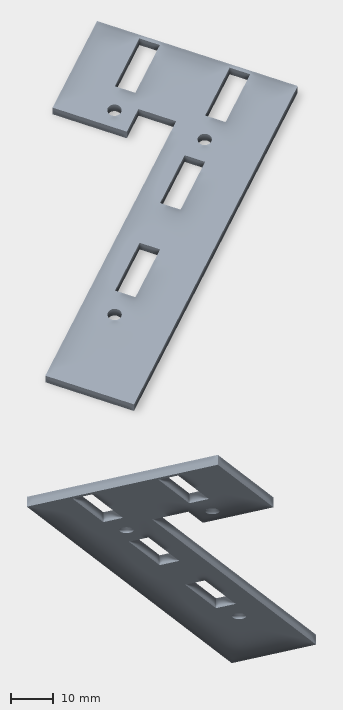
import cadquery as cq

length = 101.6
width = 50.8
thickness = 2.5
arm_width = 22.5
tab_width = 18.8
tab_depth = 27.6
head_depth = 20.4

slot_width = 5.2
slot_length = 15.2
hole_diameter = 3.4
left_column = 13.7
right_column = 36.6
edge_margin = 1.0
row_pitch = 27.9
hole_offset = 22.9

top_slot_y = length - edge_margin - slot_length / 2
top_hole_y = length - hole_offset

slot_centers = [(left_column, top_slot_y)]
for row in range(3):
    slot_centers.append((right_column, top_slot_y - row * row_pitch))

hole_centers = [
    (left_column, top_hole_y),
    (right_column, top_hole_y),
    (right_column, top_hole_y - 2 * row_pitch),
]


def make_plate():
    arm_left = width - arm_width
    outline = [
        (arm_left, 0),
        (width, 0),
        (width, length),
        (0, length),
        (0, length - tab_depth),
        (tab_width, length - tab_depth),
        (tab_width, length - head_depth),
        (arm_left, length - head_depth),
    ]
    return cq.Workplane("XY").polyline(outline).close().extrude(thickness)


def make_slots():
    slots = cq.Workplane("XY").pushPoints(slot_centers).rect(slot_width, slot_length)
    return slots.extrude(thickness)


def make_holes():
    holes = cq.Workplane("XY").pushPoints(hole_centers).circle(hole_diameter / 2)
    return holes.extrude(thickness)


result = make_plate().cut(make_slots()).cut(make_holes())